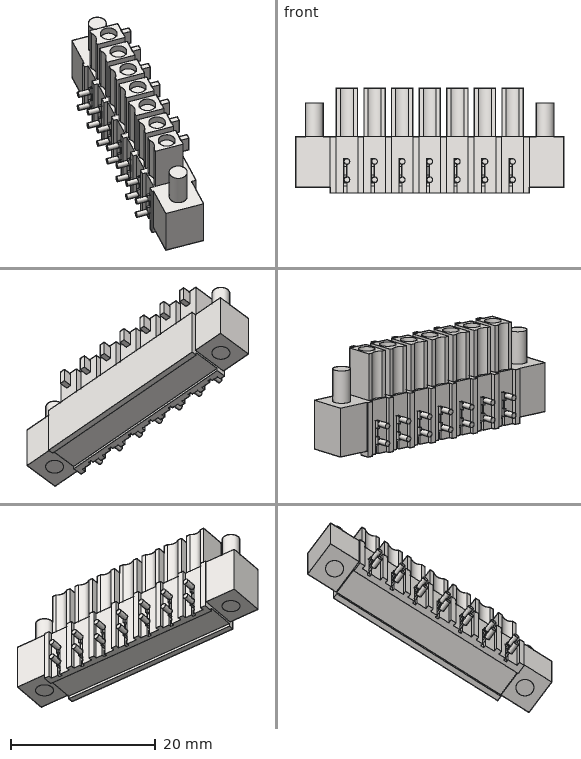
import cadquery as cq


way_count = 7
row_span = 22.85
pitch = row_span / (way_count - 1)
way_positions = [i * pitch - row_span / 2 for i in range(way_count)]

overall_length = 37.05
body_height = 7.82
body_depth = 6.5
rib_width = 0.8
panel_width = pitch - rib_width
panel_recess = 0.55
body_length = way_count * pitch + rib_width

foot_height = 0.45
front_foot_depth = 1.5
back_foot_depth = 0.8

flange_front = 0.22
flange_depth = 5.6
flange_bottom = 0.8
screw_diameter = 2.5
screw_top = 12.45
screw_inset = 2.6
screw_positions = [side * (overall_length / 2 - screw_inset) for side in (-1, 1)]
axis_y = flange_front + flange_depth / 2

overall_height = 14.5
tower_width = 2.95
tower_front = 0.78
tower_back = 4.9
tower_hole_radius = 1.15
tower_hole_depth = 1.0
flute_width = 1.78
flute_depth = 0.35

key_width = 0.78
key_back = 6.15
key_bottom = 12.0
key_top = 14.23

pin_diameter = 0.78
pin_radius = pin_diameter / 2
pin_start = 0.15
pin_end = -1.5
pin_spacing = 2.52
contact_mid_z = 3.1
sheet_thickness = 0.3
sheet_height = 3.4
sheet_back = 1.4
fork_gap = 1.2
web_front = 0.63
sheet_left = -pin_radius
sheet_right = sheet_left + sheet_thickness

slot_clearance = 0.07
slot_top = contact_mid_z + sheet_height / 2
slot_step_z = 1.0
shallow_slot_back = 0.93


def box(x_min, x_max, y_min, y_max, z_min, z_max):
    """Axis-aligned block between the given limits."""
    size = (x_max - x_min, y_max - y_min, z_max - z_min)
    return cq.Workplane("XY").box(*size, centered=False).translate((x_min, y_min, z_min))


def make_base():
    """Body block with a flange at each end and a channel along its underside."""
    half_body = body_length / 2
    half_overall = overall_length / 2
    flange_back = flange_front + flange_depth
    block = box(-half_body, half_body, 0, body_depth, 0, body_height)
    flanges = box(-half_overall, half_overall, flange_front, flange_back, flange_bottom, body_height)
    channel = box(-half_body, half_body, front_foot_depth, body_depth - back_foot_depth, 0, foot_height)
    return block.cut(channel).union(flanges)


def make_tower(x):
    """Fluted tower with a blind hole in its top and a coding key on its back."""
    half_width = tower_width / 2
    half_flute = flute_width / 2
    tower = (
        cq.Workplane("XY", origin=(x, 0, body_height))
        .moveTo(-half_width, tower_front)
        .lineTo(-half_flute, tower_front)
        .threePointArc((0, tower_front + flute_depth), (half_flute, tower_front))
        .lineTo(half_width, tower_front)
        .lineTo(half_width, tower_back)
        .lineTo(-half_width, tower_back)
        .close()
        .extrude(overall_height - body_height)
    )
    hole = (
        cq.Workplane("XY", origin=(x, axis_y, overall_height))
        .circle(tower_hole_radius)
        .extrude(-tower_hole_depth)
    )
    half_key = key_width / 2
    key = box(x - half_key, x + half_key, tower_back, key_back, key_bottom, key_top)
    return tower.cut(hole).union(key)


def make_panel_recess(x):
    """Space in front of one panel, between two ribs."""
    half_panel = panel_width / 2
    return box(x - half_panel, x + half_panel, 0, panel_recess, 0, body_height)


def make_contact_slot(x):
    """Stepped slot in one panel, deep around the contact and shallow below it."""
    left = x + sheet_left - slot_clearance
    right = x + sheet_right + slot_clearance
    deep = box(left, right, panel_recess, sheet_back, slot_step_z, slot_top)
    shallow = box(left, right, panel_recess, shallow_slot_back, 0, slot_step_z)
    return deep.union(shallow)


def make_housing():
    """Base with its towers, contact slots and matching holes for the screws."""
    housing = make_base()
    for x in way_positions:
        housing = housing.cut(make_panel_recess(x)).cut(make_contact_slot(x))
        housing = housing.union(make_tower(x))
    for x in screw_positions:
        housing = housing.cut(make_screw(x))
    return housing


def make_screw(x):
    """Plain stud that passes through its flange and stands up above it."""
    return (
        cq.Workplane("XY", origin=(x, axis_y, flange_bottom))
        .circle(screw_diameter / 2)
        .extrude(screw_top - flange_bottom)
    )


def make_contact(x):
    """Forked sheet with a round pin on each prong."""
    left = x + sheet_left
    right = x + sheet_right
    half_height = sheet_height / 2
    half_gap = fork_gap / 2
    sheet = box(left, right, pin_start, sheet_back, contact_mid_z - half_height, contact_mid_z + half_height)
    gap = box(left, right, pin_start, web_front, contact_mid_z - half_gap, contact_mid_z + half_gap)
    contact = sheet.cut(gap)
    for side in (-1, 1):
        pin_z = contact_mid_z + side * pin_spacing / 2
        pin = (
            cq.Workplane("XZ", origin=(x, pin_start, pin_z))
            .circle(pin_radius)
            .extrude(pin_start - pin_end)
        )
        contact = contact.union(pin)
    return contact


housing = make_housing()
screws = [make_screw(x) for x in screw_positions]
contacts = [make_contact(x) for x in way_positions]

result = cq.Compound.makeCompound([
    housing.val(),
    *[screw.val() for screw in screws],
    *[contact.val() for contact in contacts],
])